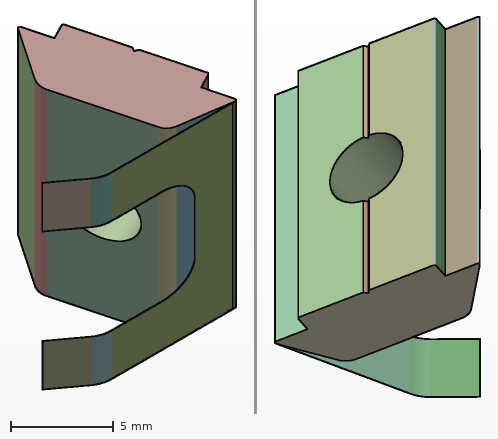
import cadquery as cq
import math

length = 16.0
width = 11.58
total_depth = 9.58

neck_width = 7.8
neck_depth = 0.98
body_depth = 4.1
sharp_front_width = 6.95
front_radius = 1.0
tip_radius = 0.1
neck_edge_radius = 0.1
hole_diameter = 4.13
groove_width = 0.35
groove_depth = groove_width / 2

sheet = 0.02
leg_angle = 60.0
lip_angle = 30.0
leg_length = 8.06
bend_radius = 2.0
window_width = 8.48
window_radius = 2.0
window_start = 2.45

front_half = sharp_front_width / 2
flank_depth = body_depth - neck_depth
tip_center_x = width / 2 - tip_radius
tip_center_y = -neck_depth - tip_radius


def sharp_tip_half_width():
    """Half-width of the shoulder that leaves the full width after the tips are rounded."""
    dx = tip_center_x - front_half
    dy = tip_center_y + body_depth
    flank_angle = math.atan2(dy, dx) - math.asin(tip_radius / math.hypot(dx, dy))
    return front_half + flank_depth / math.tan(flank_angle)


def direction(angle):
    """Unit vector along a spring face rising to the right at the given angle."""
    return cq.Vector(math.cos(math.radians(angle)), math.sin(math.radians(angle)))


def outward(angle):
    """Unit normal on the outer side of such a face."""
    return direction(angle - 90)


def prism(profile):
    """Extrude an XY profile over the full length, centred on Z = 0."""
    return profile.extrude(length / 2, both=True)


def make_body():
    shoulder = sharp_tip_half_width()
    neck = neck_width / 2
    half_groove = groove_width / 2
    right_side = [
        (0, -groove_depth),
        (half_groove, 0),
        (neck, 0),
        (neck, -neck_depth),
        (shoulder, -neck_depth),
        (front_half, -body_depth),
    ]
    left_side = [(-x, y) for x, y in reversed(right_side[1:])]
    body = prism(cq.Workplane("XY").polyline(right_side + left_side).close())
    body = body.edges("|Z").edges("<X or >X").fillet(tip_radius)
    for side in (-1, 1):
        neck_corner = cq.NearestToPointSelector((side * neck, 0, 0))
        body = body.edges(neck_corner).fillet(neck_edge_radius)
    front_edges = body.faces("<Y").edges("|Z")
    body = front_edges.fillet(front_radius)
    hole = cq.Workplane("XZ").circle(hole_diameter / 2).extrude(body_depth)
    return body.cut(hole)


def make_spring():
    tip_center = cq.Vector(tip_center_x, tip_center_y)
    leg_start = tip_center + outward(leg_angle) * tip_radius
    corner = leg_start - direction(leg_angle) * leg_length
    lip_length = (total_depth + corner.y) / math.sin(math.radians(lip_angle))
    lip_end = corner - direction(lip_angle) * lip_length

    middle_angle = (leg_angle + lip_angle) / 2
    half_turn = math.radians((leg_angle - lip_angle) / 2)
    bend_center = corner - outward(middle_angle) * (bend_radius / math.cos(half_turn))

    def bend_point(radius, angle):
        return (bend_center + outward(angle) * radius).toTuple()[:2]

    inner_radius = bend_radius - sheet
    inner_lip_end = lip_end - outward(lip_angle) * sheet
    inner_leg_start = leg_start - outward(leg_angle) * sheet
    spring = prism(
        cq.Workplane("XY")
        .moveTo(leg_start.x, leg_start.y)
        .lineTo(*bend_point(bend_radius, leg_angle))
        .threePointArc(bend_point(bend_radius, middle_angle), bend_point(bend_radius, lip_angle))
        .lineTo(lip_end.x, lip_end.y)
        .lineTo(inner_lip_end.x, inner_lip_end.y)
        .lineTo(*bend_point(inner_radius, lip_angle))
        .threePointArc(bend_point(inner_radius, middle_angle), bend_point(inner_radius, leg_angle))
        .lineTo(inner_leg_start.x, inner_leg_start.y)
        .close()
    )

    window_length = leg_length + lip_length - window_start
    leg_plane = cq.Plane(leg_start, direction(leg_angle) * -1, outward(leg_angle))
    window = (
        cq.Workplane(leg_plane)
        .center(window_start + window_length / 2, 0)
        .rect(window_length, window_width)
        .extrude(lip_length, both=True)
    )
    blind_end = cq.NearestToPointSelector(
        (leg_start - direction(leg_angle) * window_start).toTuple()
    )
    window = window.faces(blind_end).edges("not |Z").fillet(window_radius)
    return spring.cut(window)


result = make_body().union(make_spring())